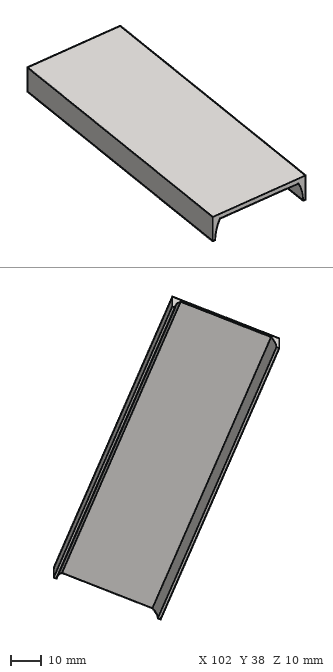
import cadquery as cq

length = 102.0
width = 38.0
height = 10.0
web_thickness = 2.0
foot_thickness = 1.0
root_thickness = 3.0
mid_thickness = 1.7
mid_height = 4.9

half_width = width / 2
web_underside = height - web_thickness
foot_y = half_width - foot_thickness
mid_y = half_width - mid_thickness
root_y = half_width - root_thickness

profile = (
    cq.Workplane("YZ")
    .moveTo(-half_width, 0)
    .lineTo(-half_width, height)
    .lineTo(half_width, height)
    .lineTo(half_width, 0)
    .lineTo(foot_y, 0)
    .threePointArc((mid_y, mid_height), (root_y, web_underside))
    .lineTo(-root_y, web_underside)
    .threePointArc((-mid_y, mid_height), (-foot_y, 0))
    .close()
)

result = profile.extrude(length / 2, both=True)